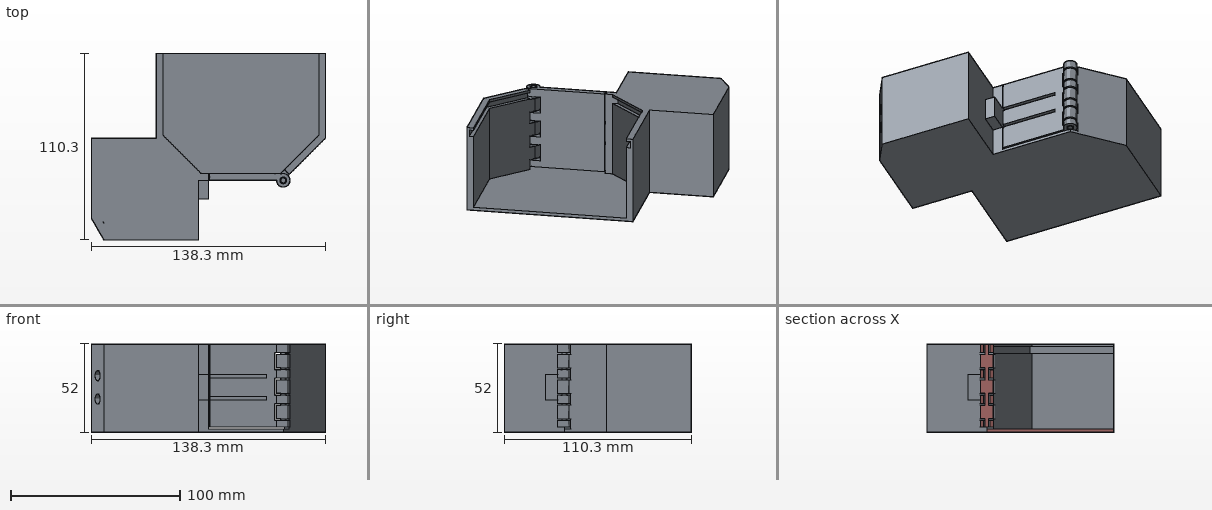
import cadquery as cq
import math


height = 52.0
tray_width = 100.0
side_length = 50.0
corner_run = 25.0
corner_angle = 45.0
wall = 4.0
floor_thickness = 2.0

block_overhang = 38.31
block_depth = 60.33
block_chamfer_length = 15.0
block_chamfer_angle = 60.0

jamb_width = 6.0
latch_reach = 11.0
latch_bottom = 19.0
latch_height = 15.0
jamb_gap = 0.5
hinge_gap = 1.0
groove_height = 2.0
groove_depth = 2.0
groove_length = 33.5

knuckle_radius = 4.0
pin_diameter = 3.0
pin_hole_diameter = 4.0
lug_height = 8.0
lug_pitch = 15.0
lug_count = 3
first_lug_bottom = 8.0

lid_slot_height = 4.0
lid_slot_depth = 2.5
lid_slot_lip = 1.5

hole_spacing = 13.8
bore_diameter = 6.0
bore_depth = 5.0
inner_bore_diameter = 5.0
inner_bore_depth = 15.0

half_width = tray_width / 2
front = -(side_length + corner_run)
block_left = -half_width - block_overhang
block_right = -half_width + corner_run
block_front = -side_length - block_depth
jamb_right = block_right + jamb_width
hinge_x = half_width - corner_run
hinge_y = front
door_bottom = floor_thickness + hinge_gap
door_left = jamb_right + jamb_gap
knuckle_clearance = knuckle_radius + hinge_gap
lug_bottoms = [first_lug_bottom + i * lug_pitch for i in range(lug_count)]
chamfer_x = block_chamfer_length * math.cos(math.radians(block_chamfer_angle))
chamfer_y = block_chamfer_length * math.sin(math.radians(block_chamfer_angle))


def prism(points, bottom, top):
    return cq.Workplane("XY").workplane(offset=bottom).polyline(points).close().extrude(top - bottom)


def box(x0, x1, y0, y1, z0, z1):
    return cq.Workplane("XY").box(x1 - x0, y1 - y0, z1 - z0, centered=False).translate((x0, y0, z0))


def hinge_cylinder(diameter, bottom, top):
    return (
        cq.Workplane("XY", origin=(hinge_x, hinge_y, bottom))
        .circle(diameter / 2)
        .extrude(top - bottom)
    )


def tray_outline(inset):
    """Tray plan with 45 degree front corners, moved inward by the inset and open at the back."""
    x = half_width - inset
    corner_y = -side_length + inset * math.tan(math.radians(corner_angle / 2))
    front_y = front + inset
    front_x = x - (corner_y - front_y)
    return [(-x, 0), (-x, corner_y), (-front_x, front_y), (front_x, front_y), (x, corner_y), (x, 0)]


def block():
    points = [
        (block_left, -side_length),
        (block_left, block_front + chamfer_y),
        (block_left + chamfer_x, block_front),
        (block_right, block_front),
        (block_right, front),
        (-half_width, -side_length),
    ]
    return prism(points, 0, height)


def stepped_hole(z):
    """Two-diameter blind hole, square to the middle of the block's chamfer."""
    centre = (block_left + chamfer_x / 2, block_front + chamfer_y / 2, z)
    inward = (chamfer_y, chamfer_x, 0)
    plane = cq.Plane(origin=centre, xDir=(0, 0, 1), normal=inward)
    bore = cq.Workplane(plane).circle(bore_diameter / 2).extrude(bore_depth)
    inner_bore = cq.Workplane(plane).circle(inner_bore_diameter / 2).extrude(inner_bore_depth)
    return bore.union(inner_bore)


def door_opening():
    """Opening in the tray's front wall, from the jamb to the hinge."""
    return box(jamb_right, hinge_x, front, front + wall, floor_thickness, height)


def wall_end_relief(bottom, top):
    """Cuts the angled wall short, square to its length, to clear a door knuckle."""
    return (
        cq.Workplane("XY")
        .rect(2 * knuckle_clearance, 2 * knuckle_clearance)
        .extrude(top - bottom)
        .rotate((0, 0, 0), (0, 0, 1), corner_angle)
        .translate((hinge_x, hinge_y, bottom))
    )


def make_tray():
    tray = prism(tray_outline(0), 0, height)
    tray = tray.cut(prism(tray_outline(wall), floor_thickness, height))
    slot_top = height - lid_slot_lip
    lid_slot = prism(tray_outline(wall - lid_slot_depth), slot_top - lid_slot_height, slot_top)
    behind_front_wall = box(-half_width, half_width, front + wall, 0, 0, height)
    tray = tray.union(block()).cut(lid_slot.intersect(behind_front_wall)).cut(door_opening())

    latch_top = latch_bottom + latch_height
    tray = tray.union(box(block_right, jamb_right, front - latch_reach, front, latch_bottom, latch_top))

    latch_middle = latch_bottom + latch_height / 2
    for z in (latch_middle - hole_spacing / 2, latch_middle + hole_spacing / 2):
        tray = tray.cut(stepped_hole(z))

    relief_bottom = floor_thickness
    for lug_bottom in lug_bottoms:
        tray = tray.cut(wall_end_relief(relief_bottom, lug_bottom))
        relief_bottom = lug_bottom + lug_height
    tray = tray.cut(wall_end_relief(relief_bottom, height))

    for lug_bottom in lug_bottoms:
        tray = tray.union(hinge_cylinder(2 * knuckle_radius, lug_bottom, lug_bottom + lug_height))
    return tray.union(hinge_cylinder(pin_diameter, door_bottom, height))


def make_door():
    door = box(door_left, hinge_x, front, front + wall, door_bottom, height)
    door = door.union(hinge_cylinder(2 * knuckle_radius, door_bottom, height))

    for lug_bottom in lug_bottoms:
        lug_notch = box(
            hinge_x - knuckle_clearance,
            hinge_x + knuckle_clearance,
            hinge_y - knuckle_clearance,
            hinge_y + knuckle_clearance,
            lug_bottom - hinge_gap,
            lug_bottom + lug_height + hinge_gap,
        )
        door = door.cut(lug_notch)
    door = door.cut(hinge_cylinder(pin_hole_diameter, door_bottom, height))

    groove_right = door_left + groove_length
    for z in (latch_bottom, latch_bottom + latch_height - groove_height):
        door = door.cut(box(door_left, groove_right, front, front + groove_depth, z, z + groove_height))
    return door


tray = make_tray()
door = make_door()
result = cq.Compound.makeCompound([*tray.vals(), *door.vals()])